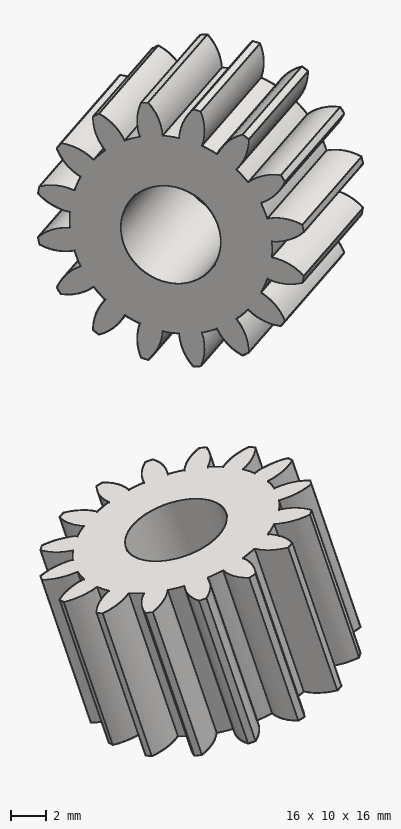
import cadquery as cq
import math

tooth_count = 16
face_width = 10.0
bore_diameter = 6.0
root_radius = 6.08

tooth_root_half_width = 0.7
tooth_middle_radius = 7.09
tooth_middle_half_width = 0.65
tooth_tip_half_width = 0.22
outer_half_size = 15.96 / 2

tooth_pitch = 360 / tooth_count
first_tooth_angle = tooth_pitch / 2
tip_lean = math.radians(first_tooth_angle)
tip_corner_height = (outer_half_size - tooth_tip_half_width * math.sin(tip_lean)) / math.cos(tip_lean)
tip_radius = math.hypot(tip_corner_height, tooth_tip_half_width)
tooth_base_height = math.sqrt(root_radius**2 - tooth_root_half_width**2)


def make_blank():
    return cq.Workplane("XZ").circle(root_radius).extrude(face_width / 2, both=True)


def make_tooth():
    """One tooth pointing along +Z, closed at the gear axis so that it overlaps the blank."""
    return (
        cq.Workplane("XZ")
        .lineTo(-tooth_root_half_width, tooth_base_height)
        .threePointArc(
            (-tooth_middle_half_width, tooth_middle_radius),
            (-tooth_tip_half_width, tip_corner_height),
        )
        .threePointArc((0, tip_radius), (tooth_tip_half_width, tip_corner_height))
        .threePointArc(
            (tooth_middle_half_width, tooth_middle_radius),
            (tooth_root_half_width, tooth_base_height),
        )
        .close()
        .extrude(face_width / 2, both=True)
    )


def make_bore():
    return cq.Workplane("XZ").circle(bore_diameter / 2).extrude(face_width / 2, both=True)


gear = make_blank()
tooth = make_tooth()
for index in range(tooth_count):
    tooth_angle = first_tooth_angle + index * tooth_pitch
    gear = gear.union(tooth.rotate((0, 0, 0), (0, 1, 0), tooth_angle))

result = gear.cut(make_bore())